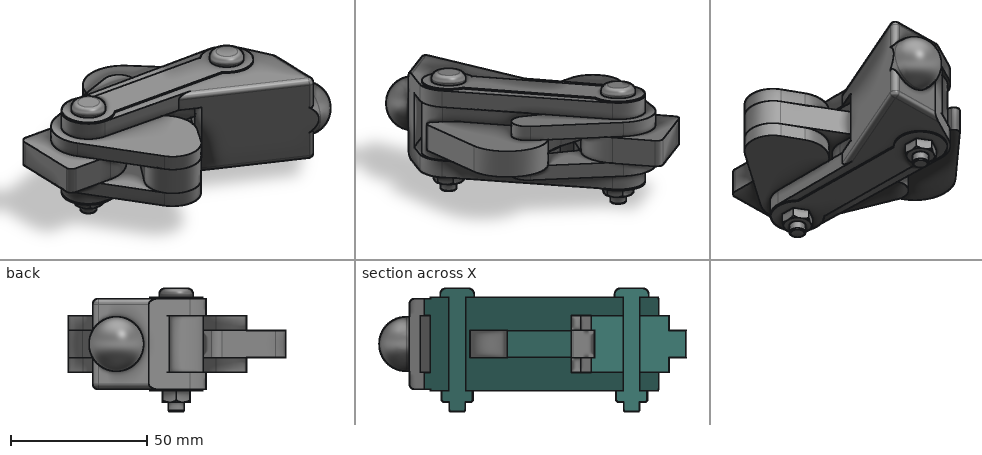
import cadquery as cq
import math


arm_thickness = 9.9
cheek_thickness = 5.4
handle_thickness = 33.4
boss_height = 0.6
cheek_outer = arm_thickness / 2 + cheek_thickness
boss_outer = handle_thickness / 2 + boss_height

pivot_spacing = 64.1
lower_pivot = (0, 0)
upper_pivot = (0, pivot_spacing)
bolt_diameter = 6.0
bolt_end_z = -24.8
bolt_end_chamfer = 0.5
head_diameter = 12.6
head_height = 3.3
head_fillet = 2.4
nut_flats = 10.2
nut_height = 4.1
nut_chamfer = 0.7

foot_width = 30.0
foot_bottom = -20.0
foot_round_y = -1.4
foot_fillet = 2.5
hub = (*lower_pivot, 13.8)
arm_lobe = (29.2, 16.6, 10.5)
shoulder = (20.3, 19.4, 12.3)
finger = (-19.7, 29.3, 6.1)
finger_angle = 32.3
finger_root = (0.3, 8.7)

heel = (-25.3, 35.8, 15.0)
tip = (-15.0, 66.3, 2.3)
tip_edge_angle = 18.7
back_edge_angle = 60
belly_edge_angle = -121
heel_edge_angle = -69
belly_fillet = 19.0

handle_lower = (*lower_pivot, 10.0)
handle_upper = (*upper_pivot, 10.9)
boss_radius = 9.8
boss_bar_width = 13.7
wing_top = 81.7
wing_left = 10.0
wing_right = 31.8
wing_slope = 24
wing_tail_y = 30.5
wing_shoulder_angle = 118
wing_fillet = 2.0
channel_wall = 4.0
channel_wall_end = 41.7
core_radius = 9.9
core_length = pivot_spacing / 2
core_slot_drop = 4.7
knob_x = 22.0
knob_radius = 10.0
knob_centre_y = 82.8


def rim(circle, angle):
    """Point on a circle at an angle in degrees."""
    x, y, radius = circle
    turn = math.radians(angle)
    return (x + radius * math.cos(turn), y + radius * math.sin(turn))


def tangent_crossing(circle_a, angle_a, circle_b, angle_b):
    """Crossing of the lines that touch two circles at the given angles."""
    ax, ay = rim(circle_a, angle_a)
    bx, by = rim(circle_b, angle_b)
    turn_a = math.radians(angle_a)
    turn_b = math.radians(angle_b)
    reach_a = ax * math.cos(turn_a) + ay * math.sin(turn_a)
    reach_b = bx * math.cos(turn_b) + by * math.sin(turn_b)
    spread = math.sin(turn_b - turn_a)
    x = (reach_a * math.sin(turn_b) - reach_b * math.sin(turn_a)) / spread
    y = (reach_b * math.cos(turn_a) - reach_a * math.cos(turn_b)) / spread
    return (x, y)


def tangent_angles(start, end):
    """Rim angles of the two outer tangents of two circles, right side first."""
    dx = end[0] - start[0]
    dy = end[1] - start[1]
    heading = math.degrees(math.atan2(dy, dx))
    swing = math.degrees(math.acos((start[2] - end[2]) / math.hypot(dx, dy)))
    return heading - swing, heading + swing


def slab(thickness, z_middle=0):
    """Workplane at the lower face of a slab centred on z_middle."""
    return cq.Workplane("XY").workplane(offset=z_middle - thickness / 2)


def strap(start, end, thickness, z_middle=0):
    """Plate whose outline wraps two circles."""
    right, left = tangent_angles(start, end)
    middle = (right + left) / 2
    return (
        slab(thickness, z_middle)
        .moveTo(*rim(start, right))
        .lineTo(*rim(end, right))
        .threePointArc(rim(end, middle), rim(end, left))
        .lineTo(*rim(start, left))
        .threePointArc(rim(start, middle + 180), rim(start, right))
        .close()
        .extrude(thickness)
    )


def bolt_hole(pivot):
    return slab(2 * boss_outer).center(*pivot).circle(bolt_diameter / 2).extrude(2 * boss_outer)


def make_foot():
    half_width = foot_width / 2
    return (
        slab(arm_thickness)
        .moveTo(-half_width, foot_bottom)
        .lineTo(half_width, foot_bottom)
        .lineTo(half_width, foot_round_y)
        .threePointArc((0, foot_round_y + half_width), (-half_width, foot_round_y))
        .close()
        .extrude(arm_thickness)
        .edges("|Z and <Y")
        .fillet(foot_fillet)
    )


def make_cheek(z_middle):
    outer_angle = tangent_angles(hub, finger)[1]
    finger_start = rim(finger, finger_angle)
    finger_plate = (
        slab(cheek_thickness, z_middle)
        .moveTo(*finger_root)
        .lineTo(*finger_start)
        .threePointArc(rim(finger, (finger_angle + outer_angle) / 2), rim(finger, outer_angle))
        .lineTo(*rim(hub, outer_angle))
        .lineTo(*lower_pivot)
        .close()
        .extrude(cheek_thickness)
    )
    lobe_plate = strap(hub, arm_lobe, cheek_thickness, z_middle)
    shoulder_plate = strap(arm_lobe, shoulder, cheek_thickness, z_middle)
    return lobe_plate.union(shoulder_plate).union(finger_plate)


def make_base():
    base = make_foot()
    for side in (-1, 1):
        base = base.union(make_cheek(side * (arm_thickness + cheek_thickness) / 2))
    return base.cut(bolt_hole(lower_pivot))


def make_arm():
    nose_angle = tangent_angles(heel, tip)[1]
    belly_bend = tangent_crossing(heel, heel_edge_angle, arm_lobe, belly_edge_angle)
    crook = tangent_crossing(arm_lobe, back_edge_angle, tip, tip_edge_angle)
    return (
        slab(arm_thickness)
        .moveTo(*rim(heel, heel_edge_angle))
        .lineTo(*belly_bend)
        .lineTo(*rim(arm_lobe, belly_edge_angle))
        .threePointArc(rim(arm_lobe, 0), rim(arm_lobe, back_edge_angle))
        .lineTo(*crook)
        .lineTo(*rim(tip, tip_edge_angle))
        .threePointArc(rim(tip, (tip_edge_angle + nose_angle) / 2), rim(tip, nose_angle))
        .lineTo(*rim(heel, nose_angle))
        .threePointArc(rim(heel, 180), rim(heel, heel_edge_angle))
        .close()
        .extrude(arm_thickness)
        .edges(cq.NearestToPointSelector((*belly_bend, 0)))
        .fillet(belly_fillet)
    )


def wing_edge_x(y):
    """X of the sloping right edge of the wing."""
    return wing_right - (wing_top - y) * math.tan(math.radians(wing_slope))


def make_wing():
    wing_points = [
        rim(handle_upper, wing_shoulder_angle),
        (wing_left, wing_top),
        (wing_right, wing_top),
        (wing_edge_x(wing_tail_y), wing_tail_y),
    ]
    wing = slab(handle_thickness).polyline(wing_points).close().extrude(handle_thickness)
    return wing.edges().filter(lambda edge: edge.Center().x > wing_left + 1.1).fillet(wing_fillet)


def make_channel():
    """Space inside the handle, open to the left and at the bottom."""
    outside = 2 * wing_right
    roof = wing_top - channel_wall
    wall_run = channel_wall / math.cos(math.radians(wing_slope))
    channel_points = [
        (-outside, roof),
        (wing_edge_x(roof) - wall_run, roof),
        (wing_edge_x(channel_wall_end) - wall_run, channel_wall_end),
        (outside, channel_wall_end),
        (outside, -outside),
        (-outside, -outside),
    ]
    return slab(2 * cheek_outer).polyline(channel_points).close().extrude(2 * cheek_outer)


def make_core():
    """Rounded bar between the side plates, forked to straddle the arm."""
    core_upper = (*upper_pivot, core_radius)
    core_lower = (0, pivot_spacing - core_length, core_radius)
    core = strap(core_lower, core_upper, 2 * cheek_outer)
    slot_top = pivot_spacing - core_slot_drop
    slot = (
        slab(arm_thickness)
        .center(0, slot_top - pivot_spacing / 2)
        .rect(2 * wing_right, pivot_spacing)
        .extrude(arm_thickness)
    )
    return core.cut(slot)


def make_bosses():
    """Raised pads on both outer faces: a disc round each bolt and a bar between."""
    height = 2 * boss_outer
    bar = slab(height).center(0, pivot_spacing / 2).rect(boss_bar_width, pivot_spacing).extrude(height)
    discs = slab(height).pushPoints([lower_pivot, upper_pivot]).circle(boss_radius).extrude(height)
    inside = slab(2 * cheek_outer).rect(4 * pivot_spacing, 4 * pivot_spacing).extrude(2 * cheek_outer)
    return bar.union(discs).cut(inside)


def make_knob():
    """Round-ended stud on the wing top, trimmed by the sloping edge of the wing."""
    stud_start = wing_top - channel_wall
    stud_length = knob_centre_y - stud_start
    knob_top = knob_centre_y + knob_radius
    stud = cq.Workplane("XZ", origin=(knob_x, stud_start, 0)).circle(knob_radius).extrude(-stud_length)
    ball = cq.Workplane("XY", origin=(knob_x, knob_centre_y, 0)).sphere(knob_radius)
    trim = (
        slab(handle_thickness)
        .moveTo(0, stud_start)
        .lineTo(wing_edge_x(stud_start), stud_start)
        .lineTo(wing_edge_x(knob_top), knob_top)
        .lineTo(0, knob_top)
        .close()
        .extrude(handle_thickness)
    )
    return stud.union(ball).intersect(trim)


def make_handle():
    handle = strap(handle_lower, handle_upper, handle_thickness).union(make_wing())
    handle = handle.cut(make_channel())
    handle = handle.union(make_core()).union(make_bosses()).union(make_knob())
    for pivot in (lower_pivot, upper_pivot):
        handle = handle.cut(bolt_hole(pivot))
    return handle


def make_bolt(pivot):
    shank = (
        cq.Workplane("XY", origin=(*pivot, bolt_end_z))
        .circle(bolt_diameter / 2)
        .extrude(boss_outer - bolt_end_z)
        .faces("<Z")
        .chamfer(bolt_end_chamfer)
    )
    head = (
        cq.Workplane("XY", origin=(*pivot, boss_outer))
        .circle(head_diameter / 2)
        .extrude(head_height)
        .faces(">Z")
        .edges()
        .fillet(head_fillet)
    )
    nut_corners = nut_flats / math.cos(math.radians(30))
    nut_plane = cq.Workplane("XY", origin=(*pivot, -boss_outer - nut_height))
    nut_blank = nut_plane.circle(nut_corners / 2).extrude(nut_height).faces("<Z").chamfer(nut_chamfer)
    nut = nut_plane.transformed(rotate=(0, 0, 30)).polygon(6, nut_corners).extrude(nut_height)
    return shank.union(head).union(nut.intersect(nut_blank))


base = make_base()
arm = make_arm()
handle = make_handle()
bolts = [make_bolt(pivot) for pivot in (lower_pivot, upper_pivot)]

bodies = [base, arm, handle, *bolts]
result = cq.Compound.makeCompound([body.solids().val() for body in bodies])